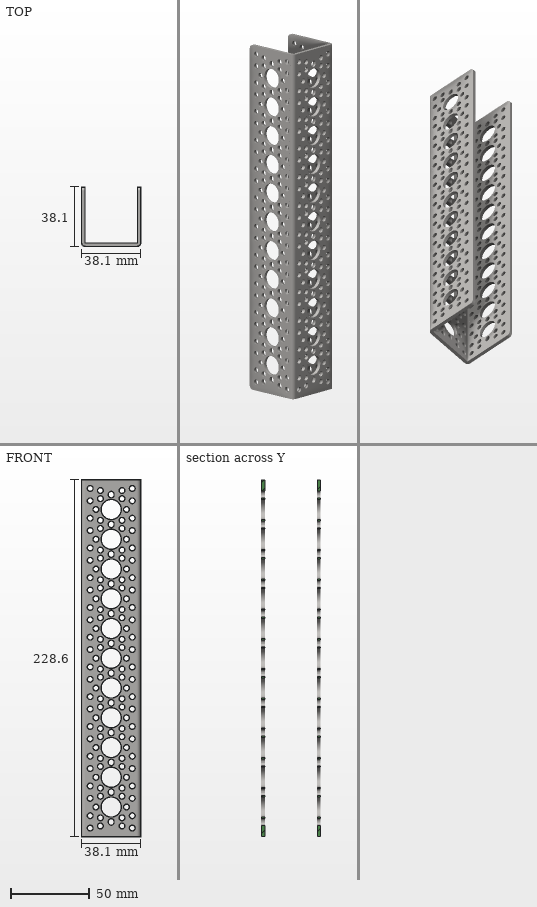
import cadquery as cq
import math

width = 38.1
length = 228.6
wall = 2.286
bend_radius = 2.54
tip_radius = 2.54

pitch = width / 2
bore_diameter = 12.73
screw_diameter = 3.556
inner_circle_radius = 9.779
outer_circle_radius = pitch

half_length = length / 2
pitch_count = round(length / pitch)
stations = [-half_length + pitch * i for i in range(pitch_count + 1)]


def make_channel():
    """U-channel along Z, open toward +Y, with rounded bends and rounded flange tips."""
    body = cq.Workplane("XY").box(width, width, length)
    body = body.edges("|Z and <Y").fillet(bend_radius)
    body = body.edges("|X and >Y").fillet(tip_radius)
    cavity = cq.Workplane("XY").box(width - 2 * wall, width, length).translate((0, wall, 0))
    return body.cut(cavity)


def circle_points(radius, first_angle, count):
    """Evenly spaced points (across, along) on a bolt circle; angles in degrees."""
    angles = [math.radians(first_angle + 360 * i / count) for i in range(count)]
    return [(radius * math.cos(a), radius * math.sin(a)) for a in angles]


def bore_points():
    """Centres of the large bores: every station except the two channel ends."""
    return [(0, station) for station in stations[1:-1]]


def screw_points():
    """Centres of the screw holes: an inner circle of eight and an outer circle of four per station."""
    pattern = circle_points(inner_circle_radius, 0, 8) + circle_points(outer_circle_radius, 45, 4)
    end_limit = half_length - screw_diameter / 2
    return [
        (across, station + along)
        for station in stations
        for across, along in pattern
        if abs(station + along) < end_limit
    ]


def cut_holes(body, plane, both):
    """Cut the whole hole pattern outward from a plane through the channel centre."""
    for points, diameter in ((bore_points(), bore_diameter), (screw_points(), screw_diameter)):
        drills = cq.Workplane(plane).pushPoints(points).circle(diameter / 2).extrude(width, both=both)
        body = body.cut(drills)
    return body


channel = make_channel()
channel = cut_holes(channel, "XZ", False)
result = cut_holes(channel, "YZ", True)